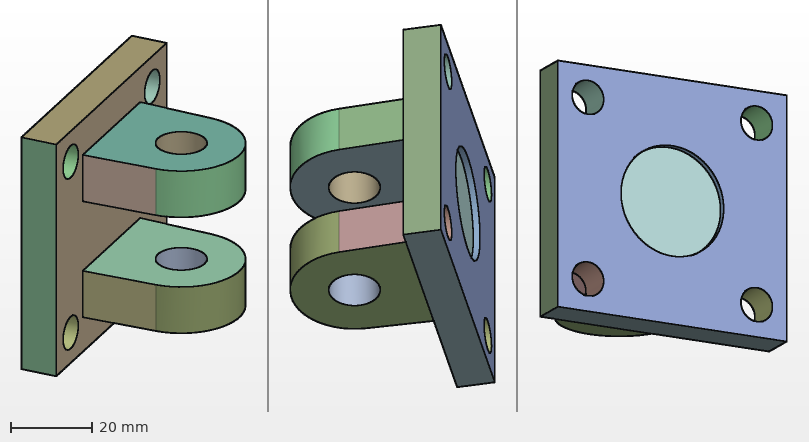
import cadquery as cq
import math

plate_size = 63.5
plate_thickness = 9.525
bolt_hole_diameter = 8.73
bolt_hole_spacing = 46.83

recess_diameter = 28.5
recess_depth = 1.7

overall_length = 44.45
lug_thickness = 12.7
lug_gap = 19.05
lug_end_radius = 15.875
lug_root_width = 33.02
pin_hole_diameter = 12.7
pin_x = overall_length - lug_end_radius


def make_plate():
    plate = cq.Workplane("XY").box(
        plate_thickness, plate_size, plate_size, centered=(False, True, True)
    )
    bolt_holes = (
        cq.Workplane("YZ")
        .rect(bolt_hole_spacing, bolt_hole_spacing, forConstruction=True)
        .vertices()
        .circle(bolt_hole_diameter / 2)
        .extrude(plate_thickness)
    )
    recess = cq.Workplane("YZ").circle(recess_diameter / 2).extrude(recess_depth)
    return plate.cut(bolt_holes).cut(recess)


def make_lug(bottom_z):
    """Tapered lug whose straight sides run tangent into its rounded end."""
    root_half_width = lug_root_width / 2
    reach = pin_x - plate_thickness
    root_corner_angle = math.atan2(root_half_width, -reach)
    corner_to_tangent = math.acos(lug_end_radius / math.hypot(reach, root_half_width))
    tangent_angle = root_corner_angle - corner_to_tangent
    tangent_x = pin_x + lug_end_radius * math.cos(tangent_angle)
    tangent_y = lug_end_radius * math.sin(tangent_angle)
    return (
        cq.Workplane("XY", origin=(0, 0, bottom_z))
        .moveTo(plate_thickness, -root_half_width)
        .lineTo(tangent_x, -tangent_y)
        .threePointArc((overall_length, 0), (tangent_x, tangent_y))
        .lineTo(plate_thickness, root_half_width)
        .close()
        .moveTo(pin_x, 0)
        .circle(pin_hole_diameter / 2)
        .extrude(lug_thickness)
    )


result = make_plate()
for lug_bottom_z in (lug_gap / 2, -lug_gap / 2 - lug_thickness):
    result = result.union(make_lug(lug_bottom_z))